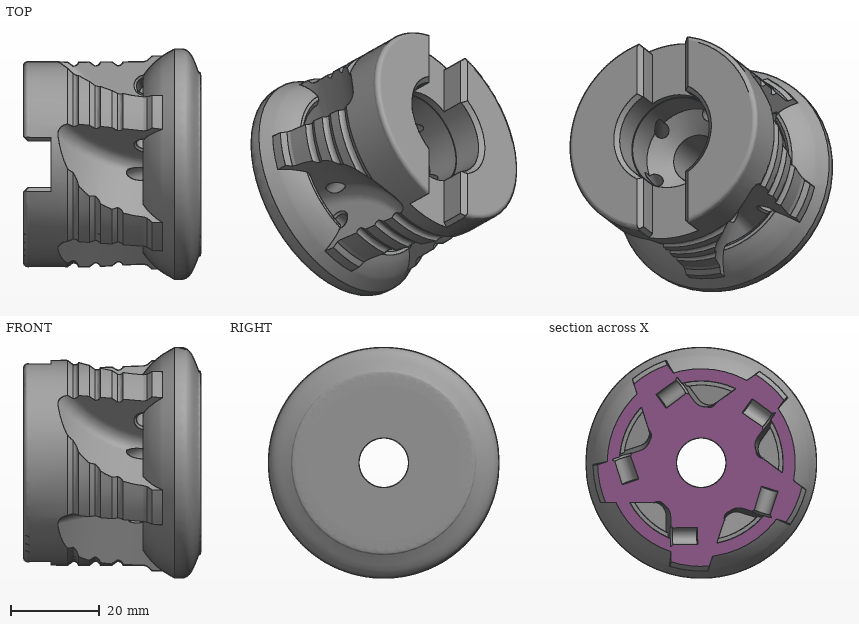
import cadquery as cq
import math

length = 40.05
ring_radius = 26.0
shank_radius = 23.1
flute_count = 5
flute_pitch = 360 / flute_count

rim_length = 1.35
rim_drop = 0.95
rim_bulge = 0.3

groove_starts = (9.95, 14.85, 19.95)
groove_width = 2.5
groove_depth = 0.9
groove_sag = 0.2

shoulder_radius = 24.4
shoulder_foot = 27.1
shoulder_blend_end = 27.9
shoulder_blend_rise = 0.25
shoulder_top = 29.0

ring_back = 27.0
ring_tip_radius = 20.0
ring_tip_width = 0.8
ring_inner_radius = 18.4
ring_back_mid = (30.5, 23.75)
ring_rim_start = 34.1
ring_front_radius = 17.5
ring_front_points = [(36.6, 25.75), (38.1, 24.1), (39.5, 20.8), (length, ring_front_radius)]

bore_radius = 11.0
bore_chamfer = 1.0
bore_mouth_length = 7.8
bore_step = 0.2
bore_depth = 15.8
hole_radius = 5.55
cone_half_angle = 60.0

slot_width = 10.4
slot_depth = 6.2
slot_chamfer = 1.1

wall_angle = 35.5
wall_yaw = 6.0
wall_edge_point = (12.6, -17.4, 15.07)
floor_radius = 28.0
floor_depth = 13.65
floor_lowest = 19.1
flute_end = 25.0
flute_fillet = 3.1
flute_opening = 4.0
flute_reach = 30.0

screw_position = (14.8, -5.9)
screw_mouth_radius = 2.4
screw_radius = 1.9
screw_depth = 6.0

coolant_radius = 1.6
coolant_start = (13.5, -9.0, -2.2)
coolant_end = (31.0, -15.2, 3.8)


def revolve_about_x(outline):
    return outline.close().revolve(360, (0, 0, 0), (1, 0, 0))


def around_axis(shape, index):
    return shape.rotate((0, 0, 0), (1, 0, 0), index * flute_pitch)


def make_shank():
    outline = (
        cq.Workplane("XY")
        .moveTo(0, 0)
        .lineTo(0, shank_radius - rim_drop)
        .threePointArc((rim_bulge, shank_radius - rim_bulge), (rim_length, shank_radius))
    )
    for start in groove_starts:
        middle = start + groove_width / 2
        end = start + groove_width
        arc_middle = ((middle + end) / 2 + groove_sag, shank_radius - groove_depth / 2 - groove_sag)
        outline = (
            outline.lineTo(start, shank_radius)
            .lineTo(middle, shank_radius - groove_depth)
            .threePointArc(arc_middle, (end, shank_radius))
        )
    outline = (
        outline.lineTo(shoulder_foot, shank_radius)
        .lineTo(shoulder_blend_end, shank_radius + shoulder_blend_rise)
        .lineTo(shoulder_top, shoulder_radius)
        .lineTo(ring_rim_start, shoulder_radius)
        .lineTo(length, ring_front_radius)
        .lineTo(length, 0)
    )
    return revolve_about_x(outline)


def make_ring():
    outline = (
        cq.Workplane("XY")
        .moveTo(ring_rim_start, ring_inner_radius)
        .lineTo(ring_back + ring_tip_width, ring_inner_radius)
        .lineTo(ring_back, ring_tip_radius - ring_tip_width)
        .lineTo(ring_back, ring_tip_radius)
        .threePointArc(ring_back_mid, (ring_rim_start, ring_radius))
        .spline(ring_front_points, tangents=[(1, 0), (0, -1)], includeCurrent=True)
        .lineTo(ring_rim_start, ring_front_radius)
    )
    return revolve_about_x(outline)


def make_bore():
    inner_radius = bore_radius - bore_step
    cone_length = (inner_radius - hole_radius) / math.tan(math.radians(cone_half_angle))
    outline = (
        cq.Workplane("XY")
        .moveTo(0, 0)
        .lineTo(0, bore_radius + bore_chamfer)
        .lineTo(bore_chamfer, bore_radius)
        .lineTo(bore_mouth_length, bore_radius)
        .lineTo(bore_mouth_length, inner_radius)
        .lineTo(bore_depth, inner_radius)
        .lineTo(bore_depth + cone_length, hole_radius)
        .lineTo(length, hole_radius)
        .lineTo(length, 0)
    )
    return revolve_about_x(outline)


def make_slot():
    half = slot_width / 2
    slot = (
        cq.Workplane("XY")
        .polyline(
            [
                (0, half + slot_chamfer),
                (slot_chamfer, half),
                (slot_depth, half),
                (slot_depth, -half),
                (slot_chamfer, -half),
                (0, -half - slot_chamfer),
            ]
        )
        .close()
        .extrude(ring_radius, both=True)
    )
    corner = math.sqrt(shank_radius**2 - half**2)
    for side in (1, -1):
        flare = (
            cq.Workplane("YZ")
            .polyline(
                [
                    (-half, side * (corner - slot_chamfer)),
                    (half, side * (corner - slot_chamfer)),
                    (half + 2 * slot_chamfer, side * (corner + slot_chamfer)),
                    (-half - 2 * slot_chamfer, side * (corner + slot_chamfer)),
                ]
            )
            .close()
            .extrude(slot_depth)
        )
        slot = slot.union(flare)
    return slot


def wall_plane():
    lean = math.radians(wall_angle)
    yaw = math.radians(wall_yaw)
    normal = (-math.sin(yaw), -math.cos(yaw) * math.cos(lean), -math.cos(yaw) * math.sin(lean))
    along = (math.cos(yaw), -math.sin(yaw) * math.cos(lean), -math.sin(yaw) * math.sin(lean))
    return cq.Plane(origin=wall_edge_point, xDir=along, normal=normal)


def floor_point(angle):
    """Point of the floor arc, angle degrees before its deepest point."""
    turn = math.radians(angle)
    return (
        floor_lowest - floor_radius * math.sin(turn),
        floor_radius * (1 - math.cos(turn)) - floor_depth,
    )


def make_flute():
    start_angle = math.degrees(math.acos(1 - (floor_depth + flute_opening) / floor_radius))
    cutter = (
        cq.Workplane(wall_plane())
        .moveTo(*floor_point(start_angle))
        .threePointArc(floor_point(start_angle / 2), floor_point(0))
        .lineTo(flute_end, -floor_depth)
        .lineTo(flute_end, flute_opening)
        .close()
        .extrude(flute_reach)
    )
    wall_floor_edge = cq.selectors.NearestToPointSelector(
        wall_plane().toWorldCoords(floor_point(start_angle / 2)).toTuple()
    )
    return cutter.edges(wall_floor_edge).fillet(flute_fillet)


def make_screw_hole():
    countersink_depth = screw_mouth_radius - screw_radius
    mouth = cq.Workplane(wall_plane()).center(*screw_position)
    hole = mouth.circle(screw_radius).extrude(-screw_depth)
    countersink = mouth.circle(screw_mouth_radius).extrude(-countersink_depth, taper=45)
    return hole.union(countersink)


def make_coolant_hole():
    path = cq.Vector(*coolant_end) - cq.Vector(*coolant_start)
    plane = cq.Plane(origin=coolant_start, normal=path.toTuple())
    return cq.Workplane(plane).circle(coolant_radius).extrude(path.Length)


flute = make_flute()
coolant_hole = make_coolant_hole()
screw_hole = make_screw_hole()

body = make_shank()
for index in range(flute_count):
    body = body.cut(around_axis(flute, index))
body = body.union(make_ring())
body = body.cut(make_bore()).cut(make_slot())
for index in range(flute_count):
    body = body.cut(around_axis(coolant_hole, index))
    body = body.cut(around_axis(screw_hole, index))

result = body